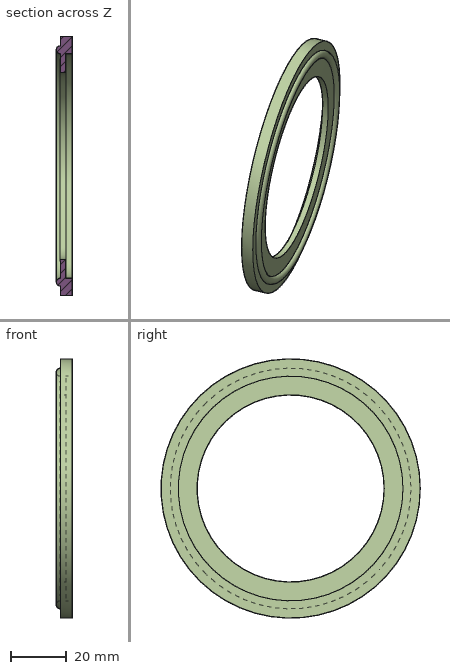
import cadquery as cq

outer_diameter = 93.0
bore_diameter = 67.0
overall_thickness = 5.8
plate_thickness = 4.3
bead_outer_diameter = 86.3
bead_width = 2.9
bead_shoulder = 0.3
lip_thickness = 2.1
web_rise = 0.14

outer_radius = outer_diameter / 2
bore_radius = bore_diameter / 2
bead_outer_radius = bead_outer_diameter / 2
bead_inner_radius = bead_outer_radius - bead_width
bead_mid_radius = bead_outer_radius - bead_width / 2

back_x = overall_thickness / 2
face_x = back_x - plate_thickness
bead_crest_x = -overall_thickness / 2
shoulder_x = face_x - bead_shoulder
lip_front_x = face_x - web_rise
recess_x = lip_front_x + lip_thickness

section = (
    cq.Workplane("XY")
    .moveTo(lip_front_x, bore_radius)
    .lineTo(recess_x, bore_radius)
    .lineTo(recess_x, bead_inner_radius)
    .lineTo(back_x, bead_inner_radius)
    .lineTo(back_x, outer_radius)
    .lineTo(face_x, outer_radius)
    .lineTo(face_x, bead_outer_radius)
    .lineTo(shoulder_x, bead_outer_radius)
    .threePointArc((bead_crest_x, bead_mid_radius), (shoulder_x, bead_inner_radius))
    .lineTo(face_x, bead_inner_radius)
    .close()
)

result = section.revolve(360, (0, 0, 0), (1, 0, 0))